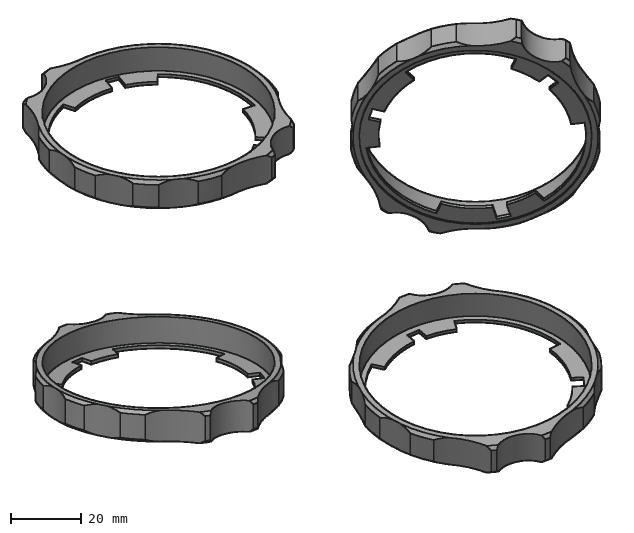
import cadquery as cq
import math

height = 9.7
ring_radius = 36.0
bore_radius = 33.2
edge_chamfer = 1.0

floor_bottom = 0.5
floor_top = 1.6
floor_thickness = floor_top - floor_bottom
floor_bore_radius = 31.5

station_count = 12
station_pitch = 360 / station_count
lug_angle = 48.0
lug_stations = (0, station_count // 2)
lug_radius = 39.1
lug_span = 2 * station_pitch
scallop_radius = 26.65
scallop_floor_radius = 34.9
thumb_radius = 9.0
thumb_flat_width = 0.6
thumb_floor_radius = 35.0

tab_count = 3
tab_pitch = 360 / tab_count
tab_inner_radius = 27.65
tab_span = 59.0
first_tab_angle = 68.8
first_notch_angle = 63.1
notch_width = 4.1
notch_end_distances = (31.1, 32.1, 31.1)


def chamfered_disc(radius):
    """Solid disc from Z = 0 with both rims chamfered."""
    return cq.Workplane("XY").circle(radius).extrude(height).edges().chamfer(edge_chamfer)


def sector(radius, span, angle, thickness):
    """Pie slice with its tip on the ring axis, centred on the given angle."""
    start = math.radians(angle - span / 2)
    middle = math.radians(angle)
    end = math.radians(angle + span / 2)
    return (
        cq.Workplane("XY")
        .lineTo(radius * math.cos(start), radius * math.sin(start))
        .threePointArc(
            (radius * math.cos(middle), radius * math.sin(middle)),
            (radius * math.cos(end), radius * math.sin(end)),
        )
        .close()
        .extrude(thickness)
    )


def spin(shape, angle):
    """Turn a shape about the ring axis."""
    return shape.rotate((0, 0, 0), (0, 0, 1), angle)


def grip_body():
    """Ring blank with two taller lugs, scalloped all the way round."""
    body = chamfered_disc(ring_radius)
    lug_disc = chamfered_disc(lug_radius)
    scallop = (
        cq.Workplane("XY")
        .center(scallop_floor_radius + scallop_radius, 0)
        .circle(scallop_radius)
        .extrude(height)
    )
    thumb_recess = (
        cq.Workplane("XY")
        .center(thumb_floor_radius + thumb_radius, 0)
        .slot2D(thumb_flat_width + 2 * thumb_radius, 2 * thumb_radius, 90)
        .extrude(height)
    )

    for station in lug_stations:
        angle = lug_angle + station * station_pitch
        lug_zone = sector(2 * lug_radius, lug_span, angle, height)
        body = body.union(lug_disc.intersect(lug_zone))

    for station in range(station_count):
        cutter = thumb_recess if station in lug_stations else scallop
        body = body.cut(spin(cutter, lug_angle + station * station_pitch))
    return body


def floor_opening():
    """Opening through the floor, leaving the notched bayonet tabs."""
    opening = cq.Workplane("XY").circle(floor_bore_radius).extrude(floor_thickness)
    for tab in range(tab_count):
        tab_angle = first_tab_angle + tab * tab_pitch
        opening = opening.cut(sector(bore_radius, tab_span, tab_angle, floor_thickness))
    opening = opening.union(cq.Workplane("XY").circle(tab_inner_radius).extrude(floor_thickness))

    for tab, end_distance in enumerate(notch_end_distances):
        notch = (
            cq.Workplane("XY")
            .center(end_distance / 2, 0)
            .rect(end_distance, notch_width)
            .extrude(floor_thickness)
        )
        opening = opening.union(spin(notch, first_notch_angle + tab * tab_pitch))
    return opening


def bore_section(bottom, top):
    """Full-width round bore between two heights."""
    return cq.Workplane("XY").workplane(offset=bottom).circle(bore_radius).extrude(top - bottom)


result = (
    grip_body()
    .cut(bore_section(floor_top, height))
    .cut(bore_section(0, floor_bottom))
    .cut(floor_opening().translate((0, 0, floor_bottom)))
)